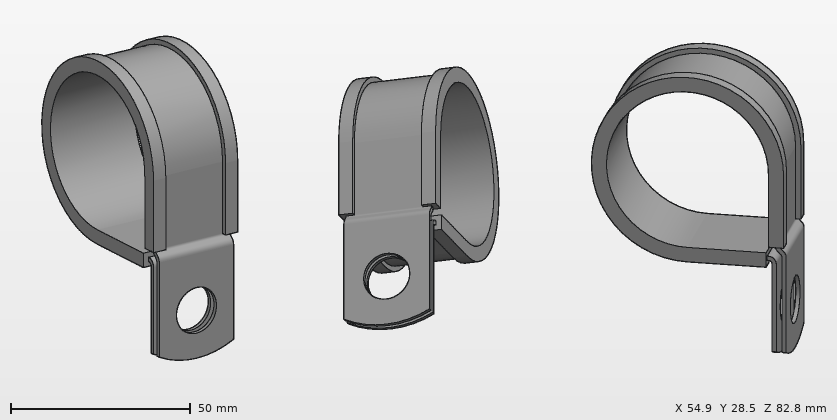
import cadquery as cq
import math


cushion_outer_radius = 27.2
cushion_wall = 4.3
cushion_width = 28.5
upright_leg_length = 21.3
flat_leg_length = 22.3
groove_width = 20.2
groove_depth = 1.5

strap_thickness = 1.25
strap_width = 25.2
strap_outer_radius = cushion_outer_radius - groove_depth
bend_inner_radius = 1.0
bend_outer_radius = bend_inner_radius + strap_thickness

overall_height = 82.8
tab_bottom = cushion_outer_radius - overall_height
outer_tab_face = 27.65
inner_tab_face = 24.8
tab_end_sag = 3.0
hole_diameter = 13.5
hole_height = -41.3


def extrude_across(sketch, width):
    """Extrude an XZ sketch symmetrically along Y."""
    return sketch.extrude(width / 2, both=True)


def open_loop(outer_radius, thickness, width):
    """Three-quarter ring with a leg going down on the right and a leg going right at the bottom."""
    inner_radius = outer_radius - thickness
    diagonal = math.sqrt(0.5)
    sketch = (
        cq.Workplane("XZ")
        .moveTo(outer_radius, -upright_leg_length)
        .lineTo(outer_radius, 0)
        .threePointArc((-outer_radius * diagonal, outer_radius * diagonal), (0, -outer_radius))
        .lineTo(flat_leg_length, -outer_radius)
        .lineTo(flat_leg_length, -inner_radius)
        .lineTo(0, -inner_radius)
        .threePointArc((-inner_radius * diagonal, inner_radius * diagonal), (inner_radius, 0))
        .lineTo(inner_radius, -upright_leg_length)
        .close()
    )
    return extrude_across(sketch, width)


def inner_tab():
    """Tab that turns down from the flat leg with a quarter bend."""
    left_face = inner_tab_face - strap_thickness
    strap_top = strap_thickness - strap_outer_radius
    bend_z = strap_top - bend_outer_radius
    sketch = (
        cq.Workplane("XZ")
        .moveTo(flat_leg_length, strap_top)
        .lineTo(inner_tab_face - bend_outer_radius, strap_top)
        .radiusArc((inner_tab_face, bend_z), bend_outer_radius)
        .lineTo(inner_tab_face, tab_bottom)
        .lineTo(left_face, tab_bottom)
        .lineTo(left_face, bend_z)
        .radiusArc((left_face - bend_inner_radius, -strap_outer_radius), -bend_inner_radius)
        .lineTo(flat_leg_length, -strap_outer_radius)
        .close()
    )
    return extrude_across(sketch, strap_width)


def outer_tab():
    """Tab that steps outward from the upright leg through two 45 degree bends."""
    angle = math.radians(45)
    rise = math.sin(angle)
    shift = 1 - math.cos(angle)
    step = outer_tab_face - strap_outer_radius
    bend_radii = bend_inner_radius + bend_outer_radius
    slope_run = step - bend_radii * shift
    bend_end_z = -upright_leg_length - bend_radii * rise - slope_run / math.tan(angle)

    right = strap_outer_radius
    left = strap_outer_radius - strap_thickness
    top = -upright_leg_length
    left_face = outer_tab_face - strap_thickness
    sketch = (
        cq.Workplane("XZ")
        .moveTo(left, top)
        .lineTo(right, top)
        .radiusArc((right + bend_inner_radius * shift, top - bend_inner_radius * rise), -bend_inner_radius)
        .lineTo(outer_tab_face - bend_outer_radius * shift, bend_end_z + bend_outer_radius * rise)
        .radiusArc((outer_tab_face, bend_end_z), bend_outer_radius)
        .lineTo(outer_tab_face, tab_bottom)
        .lineTo(left_face, tab_bottom)
        .lineTo(left_face, bend_end_z)
        .radiusArc(
            (left_face - bend_inner_radius * shift, bend_end_z + bend_inner_radius * rise),
            -bend_inner_radius,
        )
        .lineTo(left + bend_outer_radius * shift, top - bend_outer_radius * rise)
        .radiusArc((left, top), bend_outer_radius)
        .close()
    )
    return extrude_across(sketch, strap_width)


def tab_outline():
    """Solid in the tabs' YZ outline: rounded lower end and bolt hole."""
    half_width = strap_width / 2
    corner_z = tab_bottom + tab_end_sag
    outline = (
        cq.Workplane("YZ")
        .moveTo(-half_width, 0)
        .lineTo(-half_width, corner_z)
        .threePointArc((0, tab_bottom), (half_width, corner_z))
        .lineTo(half_width, 0)
        .close()
        .extrude(outer_tab_face)
    )
    hole = (
        cq.Workplane("YZ")
        .center(0, hole_height)
        .circle(hole_diameter / 2)
        .extrude(outer_tab_face)
    )
    return outline.cut(hole)


inner_layer = open_loop(strap_outer_radius, cushion_wall - groove_depth, cushion_width)
result = inner_layer
flange_width = (cushion_width - groove_width) / 2
flange_offset = (groove_width + flange_width) / 2
for side in (-1, 1):
    flange = open_loop(cushion_outer_radius, cushion_wall, flange_width)
    result = result.union(flange.translate((0, side * flange_offset, 0)))

for tab in (inner_tab(), outer_tab()):
    result = result.union(tab.intersect(tab_outline()))